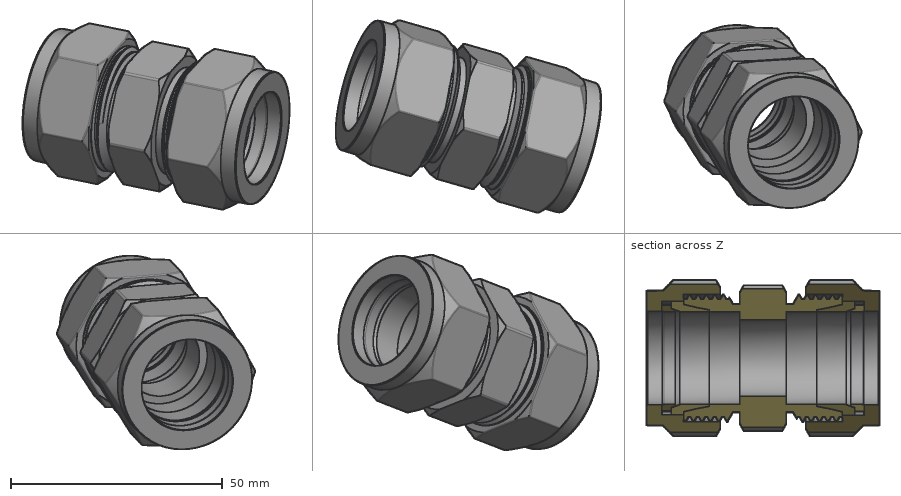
import cadquery as cq
import math


length = 55.0
end_x = -length / 2

nut_across_flats = 32.0
nut_corner_fillet = 0.35
nut_edge_fillet = 0.3
nut_collar_length = 3.9
nut_bar_overlap = 0.55
nut_collar_end_radius = 15.95
nut_end_chamfer_length = 0.3
nut_end_chamfer_depth = 0.1
nut_inner_x = -10.05
nut_inner_rim_radius = 16.7
nut_bore_radius = 11.1

hex_across_flats = 30.05
hex_corner_fillet = 0.7
hex_width = 11.0
hex_rim_radius = 15.55
neck_radius = 12.85
neck_length = 1.6
mouth_x = -18.7
bore_radius = 9.15
tube_stop_x = -5.5

thread_radius = 15.05
thread_pitch = 2.0
groove_depth = 0.541 * thread_pitch
groove_root_width = thread_pitch / 4
groove_start_x = -20.8
groove_turns = 7
groove_overcut = 0.3
flank_angle = 30.0

tube_radius = 11.0
ferrule_seat_x = -23.8
back_lead_in_length = 0.45
back_nose_x = -20.7
back_flange_radius = 12.65
front_rear_x = -21.65
front_seat_x = -19.6
front_seat_angle = 20.0
front_tip_x = -12.7
front_tip_radius = 11.45
front_cone_angle = 12.0
front_flange_radius = 13.5

end_cone_slope = math.tan(math.radians(60))
seat_slope = math.tan(math.radians(front_seat_angle))
front_slope = math.tan(math.radians(front_cone_angle))
flank_slope = math.tan(math.radians(flank_angle))
mouth_radius = front_tip_radius + (front_tip_x - mouth_x) * front_slope
seat_rear_radius = tube_radius + (front_seat_x - front_rear_x) * seat_slope
nose_radius = tube_radius + (front_seat_x - back_nose_x) * seat_slope


def revolve(points):
    """Solid of revolution about the X axis from (x, radius) points."""
    return cq.Workplane("XY").polyline(points).close().revolve(360, (0, 0, 0), (1, 0, 0))


def hex_bar(across_flats, corner_fillet, start_x, bar_length):
    """Hexagonal bar along X with corners at +Y and -Y and rounded long edges."""
    across_corners = across_flats / math.cos(math.radians(30))
    bar = cq.Workplane("YZ", origin=(start_x, 0, 0)).polygon(6, across_corners).extrude(bar_length)
    return bar.edges("|X").fillet(corner_fillet)


def opposite(workplane):
    """The same shape at the other end of the fitting."""
    return workplane.rotate((0, 0, 0), (0, 0, 1), 180)


def make_nut():
    collar_radius = nut_across_flats / 2
    collar_end_x = end_x + nut_collar_length
    bar_start_x = collar_end_x - nut_bar_overlap
    corner_radius = nut_across_flats / 2 / math.cos(math.radians(30))
    hexagon = hex_bar(nut_across_flats, nut_corner_fillet, bar_start_x, nut_inner_x - bar_start_x)
    envelope = revolve([
        (bar_start_x, 0),
        (bar_start_x, collar_radius - nut_bar_overlap),
        (collar_end_x + corner_radius - collar_radius, corner_radius),
        (nut_inner_x - (corner_radius - nut_inner_rim_radius) / end_cone_slope, corner_radius),
        (nut_inner_x, nut_inner_rim_radius),
        (nut_inner_x, 0),
    ])
    hexagon = hexagon.intersect(envelope)
    flats = hexagon.faces("%PLANE").faces("not <X").faces("not >X")
    hexagon = flats.edges().fillet(nut_edge_fillet)
    collar = revolve([
        (end_x, 0),
        (end_x, nut_collar_end_radius - nut_end_chamfer_depth),
        (end_x + nut_end_chamfer_length, nut_collar_end_radius),
        (collar_end_x, collar_radius),
        (collar_end_x, 0),
    ])
    cavity = revolve([
        (end_x, 0),
        (end_x, nut_bore_radius + nut_end_chamfer_depth),
        (end_x + nut_end_chamfer_length, nut_bore_radius),
        (ferrule_seat_x, nut_bore_radius),
        (ferrule_seat_x, front_flange_radius),
        (mouth_x, front_flange_radius),
        (mouth_x, thread_radius),
        (nut_inner_x, thread_radius),
        (nut_inner_x, 0),
    ])
    return hexagon.union(collar).cut(cavity)


def make_thread_groove():
    """Right-handed helical V groove with a flat root, starting on the -Z side."""
    root_radius = thread_radius - groove_depth
    outer_radius = thread_radius + groove_overcut
    root_half_width = groove_root_width / 2
    outer_half_width = root_half_width + (outer_radius - root_radius) * flank_slope
    helix = cq.Wire.makeHelix(thread_pitch, thread_pitch * groove_turns, root_radius)
    section = cq.Workplane("XZ").polyline([
        (root_radius, -root_half_width),
        (outer_radius, -outer_half_width),
        (outer_radius, outer_half_width),
        (root_radius, root_half_width),
    ]).close()
    groove = section.sweep(cq.Workplane(helix), isFrenet=True)
    return groove.rotate((0, 0, 0), (0, 1, 0), 90).translate((groove_start_x, 0, 0))


def make_body():
    hex_x = -hex_width / 2
    corner_radius = hex_across_flats / 2 / math.cos(math.radians(30))
    cone_length = (corner_radius - hex_rim_radius) / end_cone_slope
    envelope = revolve([
        (hex_x, 0),
        (hex_x, hex_rim_radius),
        (hex_x + cone_length, corner_radius),
        (-hex_x - cone_length, corner_radius),
        (-hex_x, hex_rim_radius),
        (-hex_x, 0),
    ])
    body = hex_bar(hex_across_flats, hex_corner_fillet, hex_x, hex_width).intersect(envelope)

    neck_x = hex_x - neck_length
    runout_length = (thread_radius - neck_radius) * flank_slope
    spigot = revolve([
        (mouth_x, 0),
        (mouth_x, thread_radius),
        (neck_x - runout_length, thread_radius),
        (neck_x, neck_radius),
        (hex_x, neck_radius),
        (hex_x, 0),
    ]).cut(make_thread_groove())
    body = body.union(spigot).union(opposite(spigot))

    socket = revolve([
        (mouth_x, 0),
        (mouth_x, mouth_radius),
        (front_tip_x, front_tip_radius),
        (front_tip_x, tube_radius),
        (tube_stop_x, tube_radius),
        (tube_stop_x, 0),
    ])
    bore = cq.Workplane("YZ", origin=(tube_stop_x, 0, 0)).circle(bore_radius).extrude(-2 * tube_stop_x)
    return body.cut(socket).cut(opposite(socket)).cut(bore)


def make_front_ferrule():
    """Long cone that fits the body mouth, with a conical seat at its rear for the back ferrule."""
    return revolve([
        (front_rear_x, seat_rear_radius),
        (front_rear_x, front_flange_radius),
        (mouth_x, front_flange_radius),
        (mouth_x, mouth_radius),
        (front_tip_x, front_tip_radius),
        (front_tip_x, tube_radius),
        (front_seat_x, tube_radius),
    ])


def make_back_ferrule():
    """Flanged ring whose nose fits the seat of the front ferrule."""
    return revolve([
        (ferrule_seat_x, nut_bore_radius),
        (ferrule_seat_x, back_flange_radius),
        (front_rear_x, back_flange_radius),
        (front_rear_x, seat_rear_radius),
        (back_nose_x, nose_radius),
        (back_nose_x, tube_radius),
        (ferrule_seat_x + back_lead_in_length, tube_radius),
    ])


solids = [make_body().solids().val()]
for make_part in (make_nut, make_front_ferrule, make_back_ferrule):
    part = make_part().solids()
    solids.append(part.val())
    solids.append(opposite(part).val())

result = cq.Compound.makeCompound(solids)